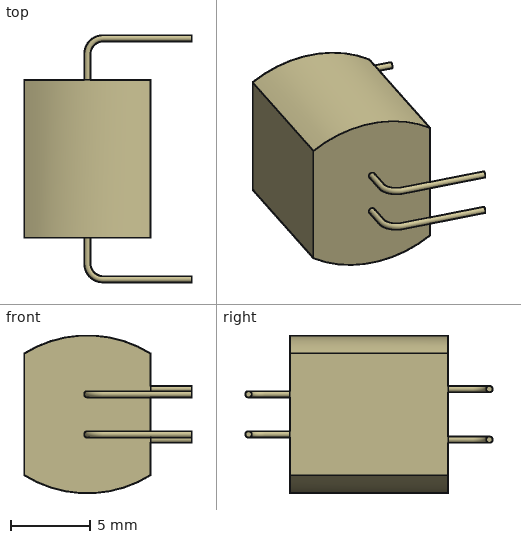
import cadquery as cq
import math

body_width = 8.0
body_length = 10.0
body_height = 10.0
flat_height = 7.7

wall = 0.48
core_flat_height = 7.05

lead_diameter = 0.41
bend_radius = 1.0
lead_row_offset = 7.62
lead_tip_x = 6.61
front_lead_pitch = 2.54
rear_lead_pitch = 3.2
lead_embed = 0.5


def crowned_prism(width, height, side_height, length):
    """Prism along Y, centred on the origin, with arcs on top and bottom."""
    half_width = width / 2
    half_side = side_height / 2
    return (
        cq.Workplane("XZ")
        .moveTo(-half_width, -half_side)
        .threePointArc((0, -height / 2), (half_width, -half_side))
        .lineTo(half_width, half_side)
        .threePointArc((0, height / 2), (-half_width, half_side))
        .close()
        .extrude(length / 2, both=True)
    )


def make_body():
    """Housing sleeve filled flush with the potting core, whose outline stays on the end faces."""
    housing = crowned_prism(body_width, body_height, flat_height, body_length)
    core_width = body_width - 2 * wall
    core_height = body_height - 2 * wall
    core = crowned_prism(core_width, core_height, core_flat_height, body_length)
    return housing.cut(core).union(core, clean=False)


def make_lead(side, z):
    """Round wire leaving an end face along Y, then bent toward +X."""
    start_y = side * (body_length / 2 - lead_embed)
    bend_start_y = side * (lead_row_offset - bend_radius)
    bend_mid_x = bend_radius * (1 - math.cos(math.pi / 4))
    bend_mid_y = bend_start_y + side * bend_radius * math.sin(math.pi / 4)
    path = (
        cq.Workplane("XY", origin=(0, 0, z))
        .moveTo(0, start_y)
        .lineTo(0, bend_start_y)
        .threePointArc((bend_mid_x, bend_mid_y), (bend_radius, side * lead_row_offset))
        .lineTo(lead_tip_x, side * lead_row_offset)
    )
    return (
        cq.Workplane("XZ", origin=(0, start_y, z))
        .circle(lead_diameter / 2)
        .sweep(path)
    )


result = make_body()
for side, pitch in ((-1, front_lead_pitch), (1, rear_lead_pitch)):
    for z in (-pitch / 2, pitch / 2):
        result = result.union(make_lead(side, z), clean=False)